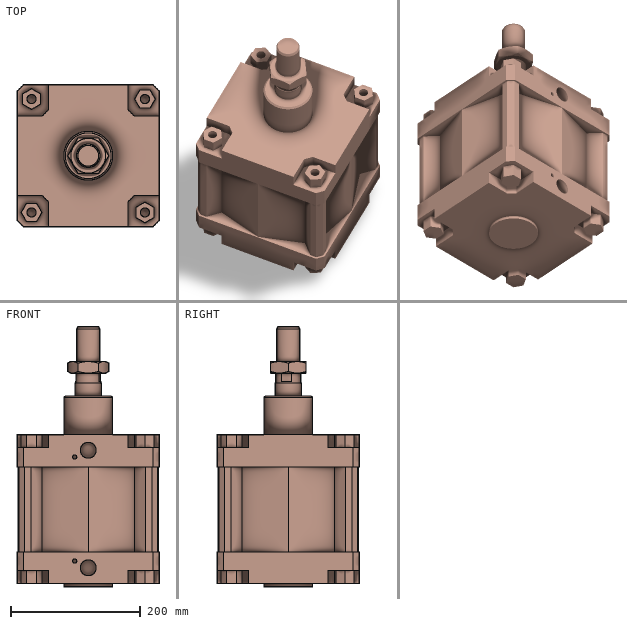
import cadquery as cq
import math

base_boss_height = 5.0
lower_pocket_top = 25.0
lower_head_top = 54.0
upper_head_bottom = 185.5
upper_pocket_floor = 215.5
upper_head_top = 235.0
neck_boss_top = 295.0
rod_step_height = 314.8
flat_bottom = 317.0
lock_nut_bottom = 330.0
lock_nut_top = 348.5
rod_top = 402.0

head_side = 220.0
head_chamfer = 10.0
pocket_side = 48.5
boss_radius = 37.8
boss_chamfer = 2.5

tie_offset = 87.5
tie_nut_flats = 27.7
tie_hole_diameter = 14.0
tie_hole_depth = 20.0
drill_point_angle = 118.0

port_diameter = 24.5
port_depth = 24.0
screw_hole_diameter = 6.5
screw_hole_depth = 16.0
screw_hole_x = -21.0
upper_port_z = 211.0
lower_port_z = 29.5
screw_hole_rise = 10.5

barrel_ridge = 109.0
barrel_corner = 107.0
barrel_chamfer = 8.0
groove_outer = 89.0
groove_inner = 71.0

rod_radius = 20.5
rod_neck_radius = 19.5
thread_radius = 18.0
thread_chamfer_height = 3.5
thread_chamfer_width = 2.0
flat_distance = 18.0
rod_turn = -8.0
lock_nut_flats = 55.0
lock_nut_chamfer_radius = 27.0
lock_nut_chamfer_angle = 30.0

head_half = head_side / 2
corner_signs = [(-1, -1), (-1, 1), (1, -1), (1, 1)]


def hexagon_prism(across_flats, height):
    """Hexagonal prism on Z = 0 with two corners on the X axis."""
    across_corners = across_flats / math.cos(math.radians(30))
    return cq.Workplane("XY").polygon(6, across_corners).extrude(height)


def make_head(bottom, top, pocket_bottom, pocket_top):
    """Square head with chamfered corners and a pocket over each corner."""
    head = (
        cq.Workplane("XY", origin=(0, 0, bottom))
        .rect(head_side, head_side)
        .extrude(top - bottom)
        .edges("|Z")
        .chamfer(head_chamfer)
    )
    pocket_centre = head_half - pocket_side / 2
    for sign_x, sign_y in corner_signs:
        pocket = (
            cq.Workplane("XY", origin=(sign_x * pocket_centre, sign_y * pocket_centre, pocket_bottom))
            .rect(pocket_side, pocket_side)
            .extrude(pocket_top - pocket_bottom)
            .edges("|Z")
            .edges(cq.selectors.NearestToPointSelector((0, 0, pocket_bottom)))
            .chamfer(head_chamfer)
        )
        head = head.cut(pocket)
    return head


def make_barrel():
    """Barrel with a pointed ridge and two 45 degree grooves on each of its four sides."""
    flat_end = barrel_corner - barrel_chamfer
    groove_floor = barrel_corner - (groove_outer - groove_inner)
    side_points = [
        (-flat_end, -barrel_corner),
        (-groove_outer, -barrel_corner),
        (-groove_inner, -groove_floor),
        (0, -barrel_ridge),
        (groove_inner, -groove_floor),
        (groove_outer, -barrel_corner),
        (flat_end, -barrel_corner),
    ]
    outline = []
    for _ in range(4):
        outline += side_points
        side_points = [(-y, x) for x, y in side_points]
    return (
        cq.Workplane("XY", origin=(0, 0, lower_head_top))
        .polyline(outline)
        .close()
        .extrude(upper_head_bottom - lower_head_top)
    )


def make_tie_hole():
    """Blind hole going down from Z = 0 and ending in a drill point."""
    radius = tie_hole_diameter / 2
    point_depth = radius / math.tan(math.radians(drill_point_angle / 2))
    return (
        cq.Workplane("XZ")
        .polyline([(0, 0), (radius, 0), (radius, -tie_hole_depth), (0, -tie_hole_depth - point_depth)])
        .close()
        .revolve(360, (0, 0), (0, 1))
    )


def front_hole(x, z, diameter, depth):
    """Cutter for a flat-bottomed hole in the -Y side of a head."""
    return cq.Workplane("XZ", origin=(x, -head_half, z)).circle(diameter / 2).extrude(-depth)


def make_housing():
    """Heads, barrel, bosses and tie rod nuts as one solid."""
    lower_head = make_head(base_boss_height, lower_head_top, base_boss_height, lower_pocket_top)
    upper_head = make_head(upper_head_bottom, upper_head_top, upper_pocket_floor, upper_head_top)
    base_boss = cq.Workplane("XY").circle(boss_radius).extrude(base_boss_height)
    neck_boss = (
        cq.Workplane("XY", origin=(0, 0, upper_head_top))
        .circle(boss_radius)
        .extrude(neck_boss_top - upper_head_top)
        .faces(">Z")
        .chamfer(boss_chamfer)
    )
    housing = make_barrel().union(lower_head).union(upper_head).union(base_boss).union(neck_boss)

    lower_nut = hexagon_prism(tie_nut_flats, lower_pocket_top - base_boss_height)
    upper_nut = hexagon_prism(tie_nut_flats, upper_head_top - upper_pocket_floor)
    tie_hole = make_tie_hole()
    for sign_x, sign_y in corner_signs:
        turn = 0 if sign_x == sign_y else 90
        x = sign_x * tie_offset
        y = sign_y * tie_offset
        for nut, bottom in [(lower_nut, base_boss_height), (upper_nut, upper_pocket_floor)]:
            housing = housing.union(nut.rotate((0, 0, 0), (0, 0, 1), turn).translate((x, y, bottom)))
        housing = housing.cut(tie_hole.translate((x, y, upper_head_top)))

    for port_z, screw_hole_z in [
        (upper_port_z, upper_port_z - screw_hole_rise),
        (lower_port_z, lower_port_z + screw_hole_rise),
    ]:
        housing = housing.cut(front_hole(0, port_z, port_diameter, port_depth))
        housing = housing.cut(front_hole(screw_hole_x, screw_hole_z, screw_hole_diameter, screw_hole_depth))
    return housing


def make_rod():
    """Stepped rod standing on the neck boss, with two wrench flats below the lock nut."""
    rod = (
        cq.Workplane("XY", origin=(0, 0, neck_boss_top))
        .circle(rod_radius)
        .extrude(rod_step_height - neck_boss_top)
        .faces(">Z")
        .workplane()
        .circle(rod_neck_radius)
        .extrude(lock_nut_bottom - rod_step_height)
        .faces(">Z")
        .workplane()
        .circle(thread_radius)
        .extrude(rod_top - lock_nut_bottom)
        .faces(">Z")
        .chamfer(thread_chamfer_height, thread_chamfer_width)
    )
    flat_height = lock_nut_bottom - flat_bottom
    for side in (-1, 1):
        flat_cutter = cq.Workplane("XY").box(
            rod_radius, 2 * rod_radius, flat_height, centered=(True, True, False)
        )
        rod = rod.cut(flat_cutter.translate((side * (flat_distance + rod_radius / 2), 0, flat_bottom)))
    return rod.rotate((0, 0, 0), (0, 0, 1), rod_turn)


def make_lock_nut():
    """Hexagonal nut with its corners chamfered by a cone at both ends."""
    height = lock_nut_top - lock_nut_bottom
    corner_radius = lock_nut_flats / 2 / math.cos(math.radians(30))
    corner_drop = (corner_radius - lock_nut_chamfer_radius) * math.tan(math.radians(lock_nut_chamfer_angle))
    envelope = (
        cq.Workplane("XZ")
        .polyline([
            (0, 0),
            (lock_nut_chamfer_radius, 0),
            (corner_radius, corner_drop),
            (corner_radius, height - corner_drop),
            (lock_nut_chamfer_radius, height),
            (0, height),
        ])
        .close()
        .revolve(360, (0, 0), (0, 1))
    )
    bore = cq.Workplane("XY").circle(thread_radius).extrude(height)
    nut = hexagon_prism(lock_nut_flats, height).intersect(envelope).cut(bore)
    return nut.translate((0, 0, lock_nut_bottom))


housing = make_housing()
rod = make_rod()
lock_nut = make_lock_nut()

result = cq.Compound.makeCompound([housing.solids().val(), rod.solids().val(), lock_nut.solids().val()])